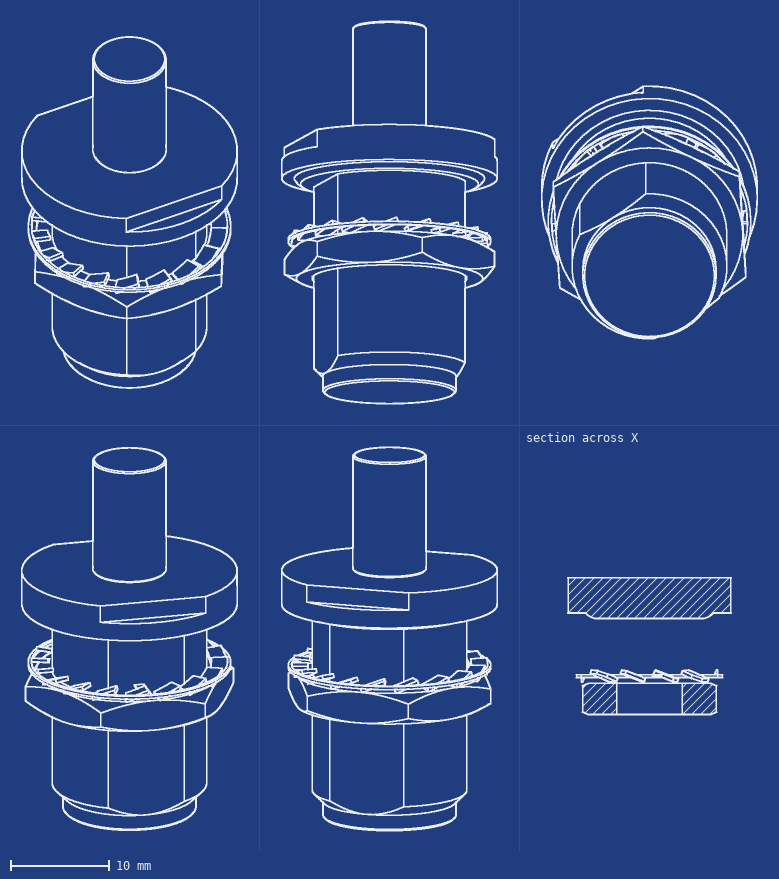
import cadquery as cq
import math

TOTAL_HEIGHT = 37.82
FLANGE_TOP = 25.8
FLANGE_FLAT_BOTTOM = 24.0
FLANGE_BOTTOM = 22.15
LIP_BOTTOM = 21.6
NUT_TOP = 15.0
NUT_BOTTOM = 11.8
BARREL_BOTTOM = 2.75

CABLE_DIAMETER = 7.5
CABLE_CHAMFER = 0.15
FLANGE_DIAMETER = 22.0
FLANGE_ACROSS_FLATS = 19.02
LIP_TOP_DIAMETER = 19.45
LIP_BOTTOM_DIAMETER = 18.15
LIP_BULGE = 0.08
BARREL_DIAMETER = 15.8
NOSE_DIAMETER = 13.6
BARREL_ACROSS_FLATS = NOSE_DIAMETER
NOSE_CHAMFER = 0.2

NUT_ACROSS_FLATS = FLANGE_ACROSS_FLATS
NUT_CHAMFER_ANGLE = 30.0
HALF_HEXAGON_STEP = 30.0

RIM_DIAMETER = 20.7
RIM_WIDTH = 0.35
WASHER_MIDDLE = 15.75
RIM_THICKNESS = 0.3
TOOTH_COUNT = 18
TOOTH_ANGLE = 14.6
TOOTH_THICKNESS = 0.38
TOOTH_TILT = 21.0
WASHER_INNER_DIAMETER = 16.7
TAB_WIDTH = 1.0
TAB_THICKNESS = 0.1
TAB_CENTRE_Y = 0.75


def cylinder(diameter, bottom, top):
    return cq.Workplane("XY").workplane(offset=bottom).circle(diameter / 2).extrude(top - bottom)


def slab(width, bottom, top):
    """Block of the given X width, centred on the axis and wider in Y than the part."""
    depth = 2 * FLANGE_DIAMETER
    return cq.Workplane("XY").workplane(offset=bottom).rect(width, depth).extrude(top - bottom)


def make_flange():
    flange = cylinder(FLANGE_DIAMETER, FLANGE_BOTTOM, FLANGE_FLAT_BOTTOM)
    upper = cylinder(FLANGE_DIAMETER, FLANGE_FLAT_BOTTOM, FLANGE_TOP)
    flats = slab(FLANGE_ACROSS_FLATS, FLANGE_FLAT_BOTTOM, FLANGE_TOP)
    return flange.union(upper.intersect(flats)).union(make_lip())


def make_lip():
    """Disc under the flange with a slightly bulging conical side."""
    top_radius = LIP_TOP_DIAMETER / 2
    bottom_radius = LIP_BOTTOM_DIAMETER / 2
    side_angle = math.atan2(FLANGE_BOTTOM - LIP_BOTTOM, top_radius - bottom_radius)
    bulge_point = (
        (top_radius + bottom_radius) / 2 + LIP_BULGE * math.sin(side_angle),
        (FLANGE_BOTTOM + LIP_BOTTOM) / 2 - LIP_BULGE * math.cos(side_angle),
    )
    return (
        cq.Workplane("XZ")
        .moveTo(0, LIP_BOTTOM)
        .lineTo(bottom_radius, LIP_BOTTOM)
        .threePointArc(bulge_point, (top_radius, FLANGE_BOTTOM))
        .lineTo(0, FLANGE_BOTTOM)
        .close()
        .revolve(360, (0, 0, 0), (0, 1, 0))
    )


def make_barrel():
    """Barrel with two flats and a 45 degree taper down to the nose."""
    taper = (BARREL_DIAMETER - NOSE_DIAMETER) / 2
    barrel = cylinder(BARREL_DIAMETER, BARREL_BOTTOM - taper, LIP_BOTTOM).faces("<Z").chamfer(taper)
    barrel = barrel.intersect(slab(BARREL_ACROSS_FLATS, 0, LIP_BOTTOM))
    nose = cylinder(NOSE_DIAMETER, 0, BARREL_BOTTOM).faces("<Z").chamfer(NOSE_CHAMFER)
    return barrel.union(nose)


def make_nut():
    """Hexagon with two faces square to X and its corners chamfered at both ends."""
    height = NUT_TOP - NUT_BOTTOM
    across_corners = NUT_ACROSS_FLATS / math.cos(math.radians(HALF_HEXAGON_STEP))
    corner_height = (across_corners - NUT_ACROSS_FLATS) / 2 * math.tan(math.radians(NUT_CHAMFER_ANGLE))
    hexagon = (
        cq.Workplane("XY").workplane(offset=NUT_BOTTOM)
        .polygon(6, across_corners).extrude(height)
        .rotate((0, 0, 0), (0, 0, 1), HALF_HEXAGON_STEP)
    )
    corner_cone = (
        cq.Workplane("XZ")
        .moveTo(0, NUT_BOTTOM)
        .lineTo(NUT_ACROSS_FLATS / 2, NUT_BOTTOM)
        .lineTo(across_corners / 2, NUT_BOTTOM + corner_height)
        .lineTo(across_corners / 2, NUT_TOP - corner_height)
        .lineTo(NUT_ACROSS_FLATS / 2, NUT_TOP)
        .lineTo(0, NUT_TOP)
        .close()
        .revolve(360, (0, 0, 0), (0, 1, 0))
    )
    bore = cylinder(BARREL_DIAMETER, NUT_BOTTOM, NUT_TOP)
    return hexagon.intersect(corner_cone).cut(bore)


def make_connector():
    cable = cylinder(CABLE_DIAMETER, FLANGE_TOP, TOTAL_HEIGHT).faces("<Z or >Z").chamfer(CABLE_CHAMFER)
    return make_barrel().union(make_flange()).union(cable).union(make_nut())


def make_tooth(inner_radius, outer_radius):
    """Plate on the -Y side, tapering towards the axis and tilted about its own radial line."""
    half_angle = math.radians(TOOTH_ANGLE / 2)
    blank_length = RIM_DIAMETER / 2
    blank_half_width = blank_length * math.tan(half_angle)
    plate = (
        cq.Workplane("XY").workplane(offset=-TOOTH_THICKNESS / 2)
        .polyline([(0, 0), (-blank_half_width, -blank_length), (blank_half_width, -blank_length)])
        .close().extrude(TOOTH_THICKNESS)
        .rotate((0, 0, 0), (0, 1, 0), -TOOTH_TILT)
    )
    ring = (
        cq.Workplane("XY").circle(outer_radius).circle(inner_radius)
        .extrude(blank_half_width, both=True)
    )
    return plate.intersect(ring).translate((0, 0, WASHER_MIDDLE))


def make_tab(outer_radius):
    """Flat tab from the rim to the flat of the barrel, level with the top of the rim."""
    inner_end = BARREL_ACROSS_FLATS / 2
    rim_top = WASHER_MIDDLE + RIM_THICKNESS / 2
    return (
        cq.Workplane("XY").workplane(offset=rim_top - TAB_THICKNESS)
        .center(-(inner_end + outer_radius) / 2, TAB_CENTRE_Y)
        .rect(outer_radius - inner_end, TAB_WIDTH).extrude(TAB_THICKNESS)
    )


def make_lock_washer():
    """Thin rim carrying a ring of tilted inner teeth and one tab."""
    rim_inner_radius = RIM_DIAMETER / 2 - RIM_WIDTH
    washer = (
        cq.Workplane("XY").workplane(offset=WASHER_MIDDLE - RIM_THICKNESS / 2)
        .circle(RIM_DIAMETER / 2).circle(rim_inner_radius).extrude(RIM_THICKNESS)
    )
    tooth = make_tooth(WASHER_INNER_DIAMETER / 2, rim_inner_radius)
    for i in range(TOOTH_COUNT):
        washer = washer.union(tooth.rotate((0, 0, 0), (0, 0, 1), i * 360 / TOOTH_COUNT))
    return washer.union(make_tab(rim_inner_radius + RIM_WIDTH / 2))


connector = make_connector()
lock_washer = make_lock_washer()

result = cq.Compound.makeCompound([connector.val(), lock_washer.val()])